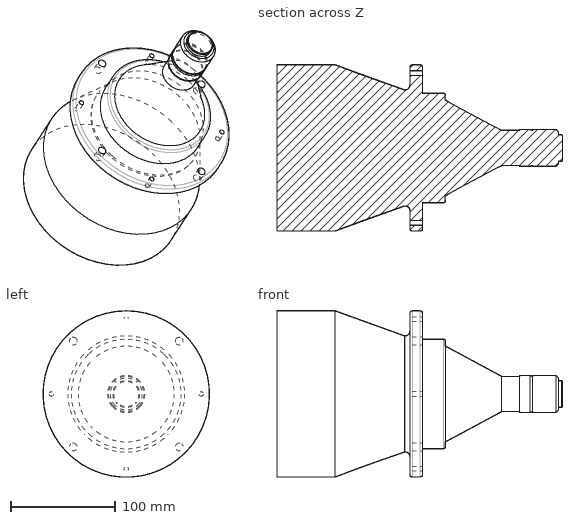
import cadquery as cq
import math

barrel_end = 56.0
neck_start = 122.5
flange_start = 127.7
flange_end = 140.0
hub_end = 162.0
tail_cone_end = 216.0
collar_start = 233.5
groove_start = 243.3
groove_end = 245.8
collar_end = 270.8
overall_length = 274.5

body_radius = 80.05
neck_radius = 56.0
hub_radius = 52.7
tail_cone_radius = 46.0
stem_radius = 17.0
collar_radius = 17.8
groove_radius = 17.0
tip_radius = 13.0

flange_rounding = 2.5
neck_fillet = 4.0
hub_rounding = 2.0
collar_chamfer = 2.5
tip_chamfer = 0.8

hole_circle_radius = 72.0
bolt_hole_diameter = 7.5
pin_hole_diameter = 4.5
holes_per_set = 4
bolt_hole_angle = 45
pin_hole_angle = 0


def arc_middle(center_x, center_r, radius, angle):
    """Point on a profile arc at the given angle in degrees."""
    turn = math.radians(angle)
    return (center_x + radius * math.cos(turn), center_r + radius * math.sin(turn))


def revolved_body():
    """Solid of revolution carrying every turned feature."""
    rounding_r = body_radius - flange_rounding
    front_rounding_x = flange_start + flange_rounding
    rear_rounding_x = flange_end - flange_rounding
    neck_fillet_x = flange_start - neck_fillet
    neck_fillet_r = neck_radius + neck_fillet
    hub_rounding_x = hub_end - hub_rounding
    hub_rounding_r = hub_radius - hub_rounding

    profile = (
        cq.Workplane("XZ")
        .moveTo(0, 0)
        .lineTo(0, body_radius)
        .lineTo(barrel_end, body_radius)
        .lineTo(neck_start, neck_radius)
        .lineTo(neck_fillet_x, neck_radius)
        .threePointArc(
            arc_middle(neck_fillet_x, neck_fillet_r, neck_fillet, -45),
            (flange_start, neck_fillet_r),
        )
        .lineTo(flange_start, rounding_r)
        .threePointArc(
            arc_middle(front_rounding_x, rounding_r, flange_rounding, 135),
            (front_rounding_x, body_radius),
        )
        .lineTo(rear_rounding_x, body_radius)
        .threePointArc(
            arc_middle(rear_rounding_x, rounding_r, flange_rounding, 45),
            (flange_end, rounding_r),
        )
        .lineTo(flange_end, hub_radius)
        .lineTo(hub_rounding_x, hub_radius)
        .threePointArc(
            arc_middle(hub_rounding_x, hub_rounding_r, hub_rounding, 45),
            (hub_end, hub_rounding_r),
        )
        .lineTo(hub_end, tail_cone_radius)
        .lineTo(tail_cone_end, stem_radius)
        .lineTo(collar_start, stem_radius)
        .lineTo(collar_start, collar_radius)
        .lineTo(groove_start, collar_radius)
        .lineTo(groove_end, groove_radius)
        .lineTo(groove_end, collar_radius)
        .lineTo(collar_end - collar_chamfer, collar_radius)
        .lineTo(collar_end, collar_radius - collar_chamfer)
        .lineTo(collar_end, tip_radius)
        .lineTo(overall_length - tip_chamfer, tip_radius)
        .lineTo(overall_length, tip_radius - tip_chamfer)
        .lineTo(overall_length, 0)
        .close()
    )
    return profile.revolve(360, (0, 0, 0), (1, 0, 0))


def flange_holes(diameter, start_angle):
    """Cutters for one evenly spaced set of holes through the flange."""
    return (
        cq.Workplane("YZ", origin=(flange_start, 0, 0))
        .polarArray(hole_circle_radius, start_angle, 360, holes_per_set)
        .circle(diameter / 2)
        .extrude(flange_end - flange_start)
    )


result = (
    revolved_body()
    .cut(flange_holes(bolt_hole_diameter, bolt_hole_angle))
    .cut(flange_holes(pin_hole_diameter, pin_hole_angle))
)